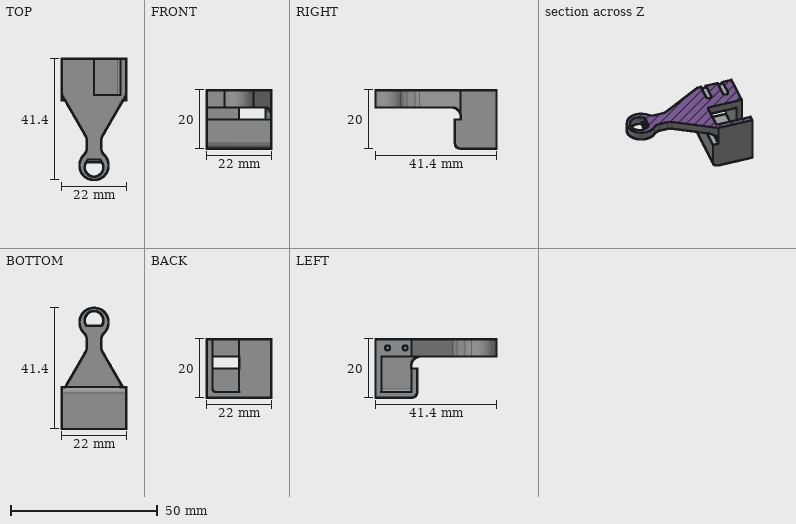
import cadquery as cq
import math

width = 22.0
length = 41.35
height = 20.0

wall = 2.03
channel_front = 12.28
lip_front = channel_front + wall
lip_height = 10.0
lip_edge_radius = wall
floor_fillet = 1.0
brace_radius = 2.98

plate_thickness = 6.0
plate_bottom = height - plate_thickness
taper_angle = math.radians(30)
neck_half_width = 2.52
blend_radius = 3.0
ring_radius = 5.0
ring_y = -(length - ring_radius)

bore_radius = 3.15
bore_y = -37.0
bore_flat_y = -34.4
ledge_flat_y = -35.25
ledge_thickness = 1.0

drill_diameter = 1.7
drill_depth = 6.0
drill_tip_angle = math.radians(118)
drill_positions = (-4.18, -10.15)
drill_z = height - plate_thickness / 2

half_width = width / 2
side_inner = half_width - wall


def box(x_range, y_range, z_range):
    """Box between the given lower and upper limits on each axis."""
    size = [limits[1] - limits[0] for limits in (x_range, y_range, z_range)]
    corner = (x_range[0], y_range[0], z_range[0])
    return cq.Workplane("XY").box(*size, centered=False).translate(corner)


def make_plate():
    """Plate tapering to a neck, with a round eye at its end."""
    neck_y = -channel_front - (half_width - neck_half_width) / math.tan(taper_angle)
    blend_x = neck_half_width + blend_radius
    centre_distance = ring_radius + blend_radius
    blend_y = ring_y + math.sqrt(centre_distance**2 - blend_x**2)
    contact_x = blend_x * ring_radius / centre_distance
    contact_y = ring_y + (blend_y - ring_y) * ring_radius / centre_distance
    mid_angle = (math.pi + math.atan2(ring_y - blend_y, -blend_x) % (2 * math.pi)) / 2
    mid_x = blend_x + blend_radius * math.cos(mid_angle)
    mid_y = blend_y + blend_radius * math.sin(mid_angle)

    plate = (
        cq.Workplane("XY")
        .workplane(offset=plate_bottom)
        .moveTo(-half_width, 0)
        .lineTo(half_width, 0)
        .lineTo(half_width, -channel_front)
        .lineTo(neck_half_width, neck_y)
        .lineTo(neck_half_width, blend_y)
        .threePointArc((mid_x, mid_y), (contact_x, contact_y))
        .threePointArc((0, -length), (-contact_x, contact_y))
        .threePointArc((-mid_x, mid_y), (-neck_half_width, blend_y))
        .lineTo(-neck_half_width, neck_y)
        .lineTo(-half_width, -channel_front)
        .close()
        .extrude(plate_thickness)
    )
    for x in (-neck_half_width, neck_half_width):
        neck_corner = cq.selectors.NearestToPointSelector((x, neck_y, height - plate_thickness / 2))
        plate = plate.edges(neck_corner).fillet(blend_radius)
    return plate


def make_channel():
    """J-shaped profile running along X: back wall, floor and front lip."""
    return (
        cq.Workplane("YZ")
        .workplane(offset=-half_width)
        .polyline([
            (0, 0),
            (-lip_front, 0),
            (-lip_front, lip_height),
            (-channel_front, lip_height),
            (-channel_front, wall),
            (-wall, wall),
            (-wall, plate_bottom),
            (0, plate_bottom),
        ])
        .close()
        .extrude(width)
        .edges("|X and <Y and <Z")
        .fillet(lip_edge_radius)
    )


def make_side_wall(plate):
    """Side wall with a curved brace under the plate, trimmed to the plate outline."""
    side = box((side_inner, half_width), (-channel_front, 0), (0, plate_bottom))
    arc_offset = brace_radius * (1 - math.sqrt(0.5))
    brace = (
        cq.Workplane("YZ")
        .workplane(offset=side_inner)
        .moveTo(-channel_front, plate_bottom)
        .lineTo(-channel_front, plate_bottom - brace_radius)
        .threePointArc(
            (-channel_front - arc_offset, plate_bottom - arc_offset),
            (-channel_front - brace_radius, plate_bottom),
        )
        .close()
        .extrude(wall)
    )
    plate_shadow = plate.translate((0, 0, -plate_thickness))
    return side.union(brace.intersect(plate_shadow))


def make_floor_fillet():
    """Concave strip where the floor meets the side wall."""
    strip = box(
        (side_inner - floor_fillet, side_inner), (-channel_front, 0), (wall, wall + floor_fillet)
    )
    hollow = (
        cq.Workplane("XZ")
        .center(side_inner - floor_fillet, wall + floor_fillet)
        .circle(floor_fillet)
        .extrude(channel_front)
    )
    return strip.cut(hollow)


def keyed_bore(flat_y, bottom, top):
    """Round bore with tangent sides closing in on a flat."""
    tangent_x = bore_radius * math.cos(taper_angle)
    tangent_y = bore_y + bore_radius * math.sin(taper_angle)
    flat_x = tangent_x - (bore_flat_y - tangent_y) * math.tan(taper_angle)
    bore = (
        cq.Workplane("XY")
        .workplane(offset=bottom)
        .moveTo(-flat_x, bore_flat_y)
        .lineTo(flat_x, bore_flat_y)
        .lineTo(tangent_x, tangent_y)
        .threePointArc((0, bore_y - bore_radius), (-tangent_x, tangent_y))
        .close()
        .extrude(top - bottom)
    )
    return bore.intersect(box((-width, width), (-length, flat_y), (bottom, top)))


def drilled_hole(y):
    """Blind hole with a conical tip, entering from the -X side."""
    radius = drill_diameter / 2
    tip_length = radius / math.tan(drill_tip_angle / 2)
    return (
        cq.Workplane("XY")
        .polyline([(0, 0), (0, radius), (drill_depth, radius), (drill_depth + tip_length, 0)])
        .close()
        .revolve(360, (0, 0), (1, 0))
        .translate((-half_width, y, drill_z))
    )


plate = make_plate()
result = plate.union(make_channel()).union(make_side_wall(plate))

result = result.cut(box((0, side_inner), (-channel_front, 0), (wall, height)))
result = result.union(make_floor_fillet())

ledge_top = plate_bottom + ledge_thickness
result = result.cut(keyed_bore(bore_flat_y, ledge_top, height))
result = result.cut(keyed_bore(ledge_flat_y, plate_bottom, ledge_top))

for hole_y in drill_positions:
    result = result.cut(drilled_hole(hole_y))